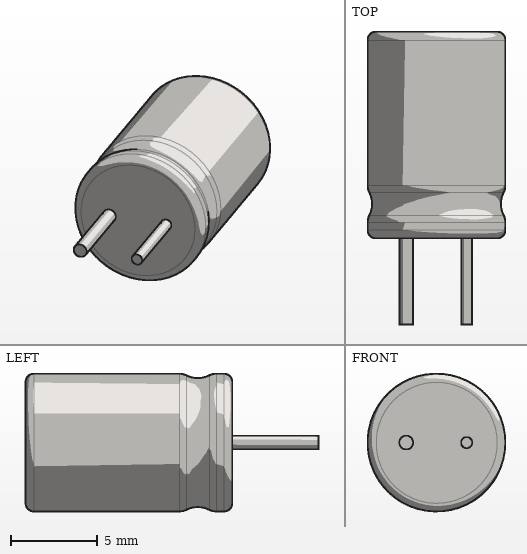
import cadquery as cq

total_length = 17.0
lead_length = 5.0
can_length = total_length - lead_length
can_radius = 8.0 / 2
rim_radius = 0.5

groove_center = 2.0
groove_half_width = 1.07
groove_depth = 0.25
throat_half_width = 0.66

lead_spacing = 3.5
left_lead_diameter = 0.8
right_lead_diameter = 0.65
lead_embed = 0.17


def make_can():
    """Revolve the can half-profile, with every arc tangent to its neighbour."""
    face_radius = can_radius - rim_radius
    floor_radius = can_radius - groove_depth
    throat_radius = floor_radius + groove_depth * throat_half_width / groove_half_width
    profile = (
        cq.Workplane("XY")
        .lineTo(face_radius, 0)
        .tangentArcPoint((can_radius, rim_radius), relative=False)
        .lineTo(can_radius, groove_center - groove_half_width)
        .tangentArcPoint((throat_radius, groove_center - throat_half_width), relative=False)
        .tangentArcPoint((floor_radius, groove_center), relative=False)
        .tangentArcPoint((throat_radius, groove_center + throat_half_width), relative=False)
        .tangentArcPoint((can_radius, groove_center + groove_half_width), relative=False)
        .lineTo(can_radius, can_length - rim_radius)
        .tangentArcPoint((face_radius, can_length), relative=False)
        .lineTo(0, can_length)
        .close()
    )
    return profile.revolve(360, (0, 0, 0), (0, 1, 0))


def make_lead(x, diameter):
    """Straight round lead running from inside the can to its free end."""
    return (
        cq.Workplane("XZ", origin=(x, lead_embed, 0))
        .circle(diameter / 2)
        .extrude(lead_length + lead_embed)
    )


result = (
    make_can()
    .union(make_lead(-lead_spacing / 2, left_lead_diameter))
    .union(make_lead(lead_spacing / 2, right_lead_diameter))
)